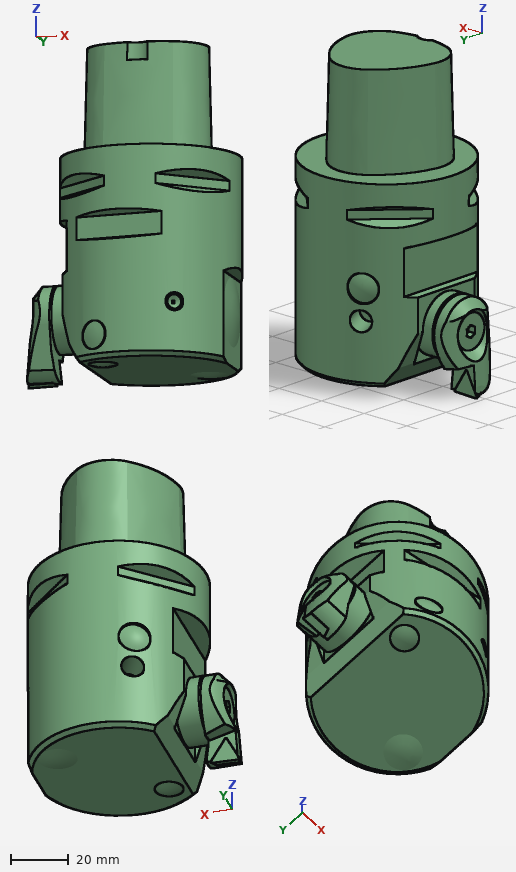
import cadquery as cq
import math

FLANGE_DIA = 63.0
FLANGE_R = FLANGE_DIA / 2
BODY_LENGTH = 74.0
BOTTOM_CHAMFER = 1.6

SHANK_LENGTH = 38.0
SHANK_TAPER = math.degrees(math.atan(1 / 40))
SHANK_FLAT_DIST = 20.5
SHANK_LOBE_DIST = 23.4
SHANK_FLAT_R = 36.0
KEY_DIA = 10.0
KEY_DEPTH = 6.3
KEY_FLOOR_DIST = 17.9

GROOVE_FLOOR_DIST = 27.8
GROOVE_Z = -12.1
GROOVE_FLOOR_WIDTH = 3.4
GROOVE_FLANK_ANGLE = 30.0

FLAT_DIST = 27.1
FLAT_TURN = 10.0
FLAT_Z = -27.5
FLAT_HEIGHT = 7.9
FLAT_FLANK_ANGLE = 15.0

AXIS_Z = -55.0
SPINDLE_DIA = 24.0
SPINDLE_FRONT_X = -32.5
SPINDLE_SEAT_X = -23.8

UPPER_RELIEF_X = -25.4
LOWER_RELIEF_X = -28.0
UPPER_RELIEF_TOP_Z = -23.5
UPPER_RELIEF_BOTTOM_Z = -41.1
RELIEF_FLANK_SLOPE = math.tan(math.radians(15))
SLANT_END_X = -24.1
SLANT_END_Z = -67.1
BEVEL_END_X = -19.8

SCALE_FLAT_X = 28.9
SCALE_FLAT_Z = -42.3
SCALE_CAP_DIA = 24.0
SCALE_CAP_HEIGHT = 1.45

PLUG_DIA = 10.0
PLUG_HEIGHT = 0.6
PLUG_TURN = 155.0
PLUG_Z = -65.7
BOTTOM_CAP_HEIGHT = 1.0
SMALL_BOTTOM_CAP = (-13.0, -16.4, 10.0)
LARGE_BOTTOM_CAP = (17.5, 14.3, 13.6)

LOCK_DIA = 6.25
LOCK_INNER_DIA = 5.01
LOCK_POINT_DIA = 1.0
LOCK_STEP = 0.5
LOCK_DEPTH = 1.8
LOCK_TURN = 29.0
COOLANT_DIA = 8.0
COOLANT_DEPTH = 12.0
COOLANT_TURN = 26.2
COOLANT_Z = -50.2

SUNK_PLUG_DIA = 11.2
SUNK_PLUG_DEPTH = 1.1
SUNK_PLUG_HEIGHT = 1.4
SUNK_PLUG_TURN = 27.5
SUNK_PLUG_Z = -38.3

HEAD_DIA = 23.84
HEAD_R = HEAD_DIA / 2
HEAD_BACK_X = -33.3
HEAD_RIM_X = -37.6
CONE_END_R = 8.4
CONE_END_X = -40.8
FRONT_R = 15.8
FRONT_APEX_X = -42.0
FRONT_TILT = 4.5
TOE_FRONT_R = 20.0
TOE_FRONT_APEX_X = -43.55
RECESS_DIA = 13.6
RECESS_FLOOR_X = -39.6
HEX_ACROSS_CORNERS = 4.7
HEX_DEPTH = 3.0
SIDE_ANGLE = 15.0
SIDE_END_Z = -73.5
TOE_MID = (-4.6, -75.9)
TOE_END = (-0.6, -77.0)
RAKE_Y = 2.04
HEEL_MID = (10.2, -62.5)
HEEL_END = (6.4, -68.6)
POCKET_FRONT_Z = -65.7
FOOT_BACK_X = -32.2
FOOT_START_Z = -67.0

INSERT_EDGE = 11.0
INSERT_THICKNESS = 3.18
INSERT_CLEARANCE = 11.0
NOSE_R = 0.4
NOSE_LEFT_X = -44.22
NOSE_BOTTOM_Z = -78.0
LEAD_ANGLE = 2.0

CUT = 40.0


def at_angle(distance, degrees):
    """Point at a distance from the origin in a direction."""
    turn = math.radians(degrees)
    return (distance * math.cos(turn), distance * math.sin(turn))


def add(a, b):
    return (a[0] + b[0], a[1] + b[1])


def prism_xz(points):
    """Prism through the whole part along Y from an XZ outline."""
    return cq.Workplane("XZ").polyline(points).close().extrude(CUT, both=True)


def turned(profile, plane):
    """Solid of a half profile (radius, height) turned about the normal of a plane."""
    solid = profile.revolve(360, (0, 0, 0), (0, 1, 0)).val()
    upright = solid.rotate(cq.Vector(), cq.Vector(1, 0, 0), 90)
    return cq.Workplane(upright.moved(plane.location))


def cap(plane, dia, height):
    """Domed disc on a plane, with a stem as deep as the dome is high reaching back into the body."""
    r = dia / 2
    sphere_r = (r**2 + height**2) / (2 * height)
    half_turn = math.asin(r / sphere_r) / 2
    centre = height - sphere_r
    middle = (sphere_r * math.sin(half_turn), centre + sphere_r * math.cos(half_turn))
    profile = (
        cq.Workplane("XY")
        .moveTo(0, -height)
        .lineTo(r, -height)
        .lineTo(r, 0)
        .threePointArc(middle, (0, height))
        .close()
    )
    return turned(profile, plane)


def radial_plane(distance, turn, z):
    """Plane facing outward, turned about Z from the +Y direction toward -X."""
    x, y = at_angle(distance, 90 + turn)
    return cq.Plane(origin=(x, y, z), xDir=(0, 0, 1), normal=(x, y, 0))


def shank():
    """Tapered three-lobed shank: six tangent arcs, flat side toward -Y."""
    flat_centre = SHANK_FLAT_R - SHANK_FLAT_DIST
    excess = SHANK_FLAT_R - SHANK_LOBE_DIST
    lobe_centre = (excess**2 - flat_centre**2) / (flat_centre - 2 * excess)
    lobe_r = SHANK_LOBE_DIST - lobe_centre
    sine = lobe_centre * math.cos(math.radians(30)) / (SHANK_FLAT_R - lobe_r)
    joint = math.degrees(math.asin(sine))

    def on_flat(side, offset):
        return add(at_angle(flat_centre, side + 180), at_angle(SHANK_FLAT_R, side + offset))

    outline = cq.Workplane("XY").moveTo(*on_flat(-90, -joint))
    for side in (-90, 30, 150):
        outline = outline.threePointArc(on_flat(side, 0), on_flat(side, joint))
        lobe_tip = at_angle(SHANK_LOBE_DIST, side + 60)
        outline = outline.threePointArc(lobe_tip, on_flat(side + 120, -joint))
    body = outline.close().extrude(SHANK_LENGTH, taper=SHANK_TAPER)
    key = (
        cq.Workplane("XY", origin=(0, -KEY_FLOOR_DIST - KEY_DIA / 2, SHANK_LENGTH - KEY_DEPTH))
        .circle(KEY_DIA / 2)
        .extrude(CUT)
    )
    return body.cut(key)


def flat_groove(floor_dist, floor_width, flank_angle, z, turn):
    """Straight groove across the rim; each flank opens by flank_angle from the floor normal."""
    reach = CUT - floor_dist
    spread = reach * math.tan(math.radians(flank_angle))
    half = floor_width / 2
    points = [
        (floor_dist, z - half),
        (CUT, z - half - spread),
        (CUT, z + half + spread),
        (floor_dist, z + half),
    ]
    return prism_xz(points).rotate((0, 0, 0), (0, 0, 1), turn)


def cutting_side_relief():
    flank = RELIEF_FLANK_SLOPE
    top_z = UPPER_RELIEF_TOP_Z + (CUT + UPPER_RELIEF_X) * flank
    step_z = UPPER_RELIEF_BOTTOM_Z - (UPPER_RELIEF_X - LOWER_RELIEF_X) * flank
    return prism_xz([
        (-CUT, top_z),
        (UPPER_RELIEF_X, UPPER_RELIEF_TOP_Z),
        (UPPER_RELIEF_X, UPPER_RELIEF_BOTTOM_Z),
        (LOWER_RELIEF_X, step_z),
        (LOWER_RELIEF_X, AXIS_Z),
        (SLANT_END_X, SLANT_END_Z),
        (BEVEL_END_X, -BODY_LENGTH),
        (-CUT, -BODY_LENGTH),
    ])


def scale_side_relief():
    return prism_xz([
        (SCALE_FLAT_X, -BODY_LENGTH),
        (SCALE_FLAT_X, SCALE_FLAT_Z),
        (CUT, SCALE_FLAT_Z + CUT - SCALE_FLAT_X),
        (CUT, -BODY_LENGTH),
    ])


def spindle_slot():
    """Flat-floored slot from the boring axis down, as wide as the spindle."""
    slot = cq.Workplane("XY").box(CUT, SPINDLE_DIA, SPINDLE_DIA, centered=(False, True, False))
    return slot.translate((SPINDLE_SEAT_X - CUT, 0, AXIS_Z - SPINDLE_DIA))


def spindle():
    return (
        cq.Workplane("YZ", origin=(SPINDLE_FRONT_X, 0, AXIS_Z))
        .circle(SPINDLE_DIA / 2)
        .extrude(SPINDLE_SEAT_X - SPINDLE_FRONT_X)
    )


def lock_recess():
    """Stepped conical recess of the lock screw."""
    outside = CUT - FLANGE_R
    profile = (
        cq.Workplane("XY")
        .moveTo(0, outside)
        .lineTo(LOCK_DIA / 2, outside)
        .lineTo(LOCK_DIA / 2, -LOCK_STEP)
        .lineTo(LOCK_INNER_DIA / 2, -LOCK_STEP)
        .lineTo(LOCK_POINT_DIA / 2, -LOCK_DEPTH)
        .lineTo(0, -LOCK_DEPTH)
        .close()
    )
    return turned(profile, radial_plane(FLANGE_R, 180 + LOCK_TURN, AXIS_Z))


def coolant_hole():
    plane = radial_plane(FLANGE_R - COOLANT_DEPTH, COOLANT_TURN, COOLANT_Z)
    return cq.Workplane(plane).circle(COOLANT_DIA / 2).extrude(COOLANT_DEPTH * 2)


def sunk_bore():
    plane = radial_plane(FLANGE_R - SUNK_PLUG_DEPTH, SUNK_PLUG_TURN, SUNK_PLUG_Z)
    return cq.Workplane(plane).circle(SUNK_PLUG_DIA / 2).extrude(CUT - FLANGE_R)


def plugs():
    """Domed plugs of the housing."""
    scale_plane = cq.Plane(origin=(SCALE_FLAT_X, 0, AXIS_Z), xDir=(0, 1, 0), normal=(1, 0, 0))
    raised_plane = radial_plane(FLANGE_R, PLUG_TURN, PLUG_Z)
    sunk_plane = radial_plane(FLANGE_R - SUNK_PLUG_DEPTH, SUNK_PLUG_TURN, SUNK_PLUG_Z)
    domes = [
        cap(scale_plane, SCALE_CAP_DIA, SCALE_CAP_HEIGHT),
        cap(raised_plane, PLUG_DIA, PLUG_HEIGHT),
        cap(sunk_plane, SUNK_PLUG_DIA, SUNK_PLUG_HEIGHT),
    ]
    for x, y, dia in (SMALL_BOTTOM_CAP, LARGE_BOTTOM_CAP):
        plane = cq.Plane(origin=(x, y, -BODY_LENGTH), xDir=(1, 0, 0), normal=(0, 0, -1))
        domes.append(cap(plane, dia, BOTTOM_CAP_HEIGHT))
    return domes


def make_housing():
    body = (
        cq.Workplane("XY")
        .circle(FLANGE_R)
        .extrude(-BODY_LENGTH)
        .faces("<Z")
        .chamfer(BOTTOM_CHAMFER)
        .union(shank())
    )
    for turn in (45, 135, 225, 315):
        body = body.cut(
            flat_groove(GROOVE_FLOOR_DIST, GROOVE_FLOOR_WIDTH, GROOVE_FLANK_ANGLE, GROOVE_Z, turn)
        )
    body = body.cut(
        flat_groove(FLAT_DIST, FLAT_HEIGHT, FLAT_FLANK_ANGLE, FLAT_Z, 270 - FLAT_TURN)
    )
    for tool in (cutting_side_relief(), scale_side_relief(), spindle_slot()):
        body = body.cut(tool)
    for tool in (lock_recess(), coolant_hole(), sunk_bore()):
        body = body.cut(tool)
    for added in (spindle(), *plugs()):
        body = body.union(added)
    return body


def make_insert():
    """Three-cornered insert, its rake face toward +Y, thinning away from it."""
    nose = (NOSE_LEFT_X + NOSE_R, NOSE_BOTTOM_Z + NOSE_R)
    bisector = LEAD_ANGLE + 30
    corner = add(nose, at_angle(-2 * NOSE_R, bisector))
    corner_dist = INSERT_EDGE / math.sqrt(3)
    centre = add(corner, at_angle(corner_dist, bisector))
    vertices = [add(centre, at_angle(corner_dist, bisector + turn)) for turn in (60, 180, 300)]
    blank = (
        cq.Workplane("XZ", origin=(0, RAKE_Y, 0))
        .polyline(vertices)
        .close()
        .extrude(INSERT_THICKNESS, taper=INSERT_CLEARANCE)
    )
    return blank.edges("not #Y").fillet(NOSE_R)


def cartridge_blank():
    """Round head with a finger tangent to it, as a prism along X."""
    side = math.radians(SIDE_ANGLE)
    tangent = (-HEAD_R * math.cos(side), AXIS_Z - HEAD_R * math.sin(side))
    side_end = (tangent[0] + (tangent[1] - SIDE_END_Z) * math.tan(side), SIDE_END_Z)
    return (
        cq.Workplane("YZ", origin=(FOOT_BACK_X, 0, 0))
        .moveTo(*tangent)
        .lineTo(*side_end)
        .threePointArc(TOE_MID, TOE_END)
        .lineTo(RAKE_Y, TOE_END[1])
        .lineTo(RAKE_Y, HEEL_END[1])
        .lineTo(*HEEL_END)
        .threePointArc(HEEL_MID, (HEAD_R, AXIS_Z))
        .threePointArc((0, AXIS_Z + HEAD_R), tangent)
        .close()
        .extrude(-CUT)
    )


def front_cylinder(radius, apex_x, tilt):
    """Upright cylinder, leaning out at its foot, whose -X side is a front face of the cartridge."""
    return (
        cq.Workplane("XY")
        .circle(radius)
        .extrude(CUT, both=True)
        .rotate((0, 0, 0), (0, 1, 0), tilt)
        .translate((apex_x + radius, 0, AXIS_Z))
    )


def back_relief():
    """Space behind the head; the foot of the finger leans back into it."""
    return prism_xz([
        (HEAD_BACK_X, 0),
        (HEAD_BACK_X, FOOT_START_Z),
        (FOOT_BACK_X, TOE_END[1]),
        (0, TOE_END[1]),
        (0, 0),
    ])


def crown_cone():
    """Ring outside the cone that bevels the upper half of the head."""
    slope = (HEAD_R - CONE_END_R) / (HEAD_RIM_X - CONE_END_X)
    cone_tip_x = HEAD_RIM_X - HEAD_R / slope
    ring = (
        cq.Workplane("XY")
        .moveTo(HEAD_RIM_X, HEAD_R)
        .lineTo(cone_tip_x, 0)
        .lineTo(cone_tip_x, 2 * HEAD_R)
        .lineTo(HEAD_RIM_X, 2 * HEAD_R)
        .close()
        .revolve(180, (0, 0, 0), (1, 0, 0))
    )
    return ring.translate((0, 0, AXIS_Z))


def screw_recess():
    """Flared round recess with a hexagon socket in its floor."""
    reach = RECESS_FLOOR_X + CUT + HEAD_R
    flare = (
        cq.Workplane("YZ", origin=(RECESS_FLOOR_X, 0, AXIS_Z))
        .circle(RECESS_DIA / 2)
        .workplane(offset=-reach)
        .circle(RECESS_DIA / 2 + reach)
        .loft()
    )
    socket = (
        cq.Workplane("YZ", origin=(RECESS_FLOOR_X, 0, AXIS_Z))
        .transformed(rotate=(0, 0, 90))
        .polygon(6, HEX_ACROSS_CORNERS)
        .extrude(HEX_DEPTH)
    )
    return flare.union(socket)


def chip_pocket():
    """Space in front of the rake face, under a ceiling that falls toward the back."""
    outline = [
        (NOSE_LEFT_X, POCKET_FRONT_Z),
        (HEAD_BACK_X, HEEL_END[1]),
        (HEAD_BACK_X, NOSE_BOTTOM_Z),
        (NOSE_LEFT_X, NOSE_BOTTOM_Z),
    ]
    return cq.Workplane("XZ", origin=(0, RAKE_Y, 0)).polyline(outline).close().extrude(-HEAD_R)


def make_cartridge(insert):
    front = front_cylinder(FRONT_R, FRONT_APEX_X, FRONT_TILT)
    toe_front = front_cylinder(TOE_FRONT_R, TOE_FRONT_APEX_X, 0)
    body = cartridge_blank().intersect(front).intersect(toe_front)
    for tool in (back_relief(), crown_cone(), screw_recess(), chip_pocket(), insert):
        body = body.cut(tool)
    return body


housing = make_housing()
insert = make_insert()
cartridge = make_cartridge(insert)

bodies = [part.solids().val() for part in (housing, cartridge, insert)]
result = cq.Compound.makeCompound(bodies)